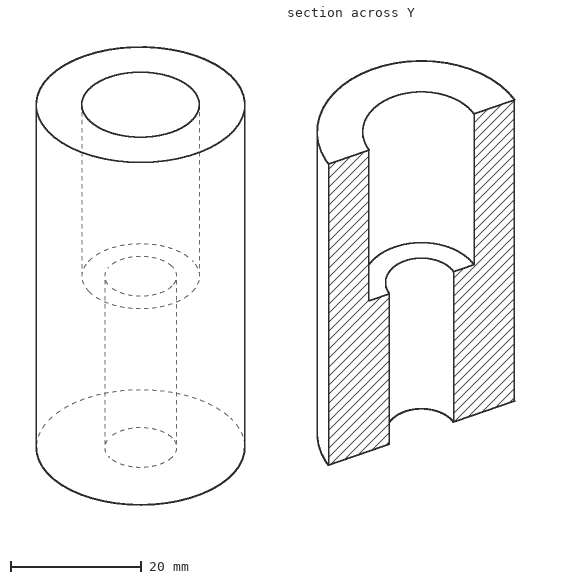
import cadquery as cq

length = 63.0
outer_diameter = 32.0
counterbore_diameter = 18.0
through_hole_diameter = 11.0
counterbore_depth = length / 2

result = (
    cq.Workplane("XY")
    .circle(outer_diameter / 2)
    .extrude(length)
    .faces(">Z")
    .workplane()
    .cboreHole(through_hole_diameter, counterbore_diameter, counterbore_depth)
)